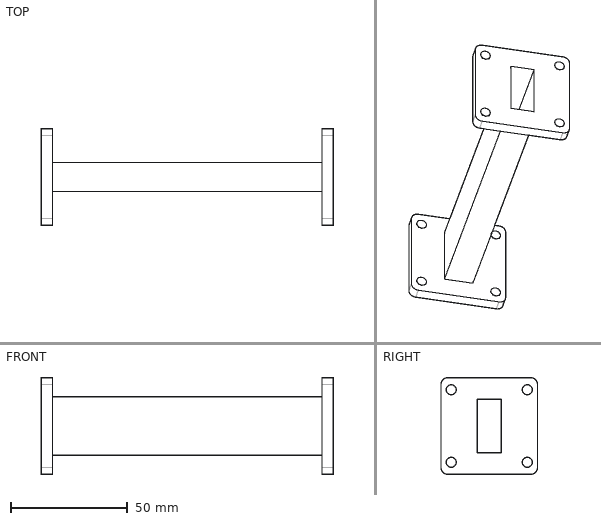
import cadquery as cq

overall_length = 125.0
flange_side = 41.4
flange_thickness = 5.0
flange_corner_radius = 3.0

bore_width = 10.16
bore_height = 22.86
tube_wall = 1.17
tube_width = bore_width + 2 * tube_wall
tube_height = bore_height + 2 * tube_wall

bolt_hole_diameter = 4.2
bolt_spacing_y = 32.5
bolt_spacing_z = 31.0


def box_along_x(width, height):
    """Full-length bar centred on the origin, width along Y and height along Z."""
    return cq.Workplane("XY").box(overall_length, width, height)


def flange(center_x):
    """Square flange with rounded corners and four bolt holes."""
    return (
        cq.Workplane("XY")
        .box(flange_thickness, flange_side, flange_side)
        .edges("|X")
        .fillet(flange_corner_radius)
        .faces(">X")
        .workplane()
        .rect(bolt_spacing_y, bolt_spacing_z, forConstruction=True)
        .vertices()
        .hole(bolt_hole_diameter)
        .translate((center_x, 0, 0))
    )


flange_offset = (overall_length - flange_thickness) / 2

body = box_along_x(tube_width, tube_height)
for side in (-1, 1):
    body = body.union(flange(side * flange_offset))

result = body.cut(box_along_x(bore_width, bore_height))